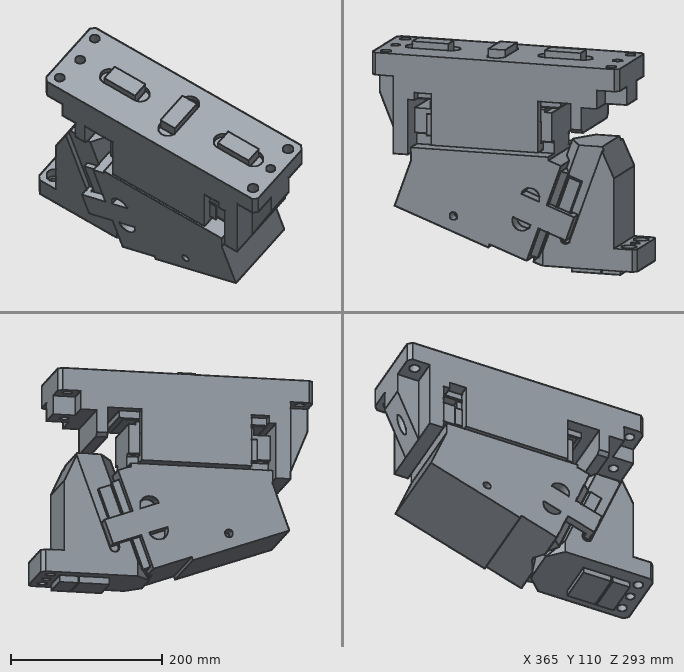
import cadquery as cq
import math


overall_length = 365.0
unit_width = 110.0
base_width = 85.0
holder_top_z = 275.0
key_height = 9.0
corner_chamfer = 5.5
chamfered_depth = 30.0

slide_angle = 20.0
slide_cos = math.cos(math.radians(slide_angle))
slide_sin = math.sin(math.radians(slide_angle))
slide_side = cq.Plane(origin=(0, 0, 0), xDir=(slide_cos, 0, slide_sin), normal=(0, -1, 0))
slide_section = cq.Plane(origin=(0, 0, 0), xDir=(slide_cos, 0, slide_sin), normal=(-slide_sin, 0, slide_cos))
slide_reach = 400.0

roof_ridge = 152.3
ridge_half_width = 3.0
roof_slope = math.tan(math.radians(30))

flange_length = 31.0
base_end_x = 150.0
base_end_chamfer = 19.6
base_shoulder_z = 125.0
base_top_z = 165.0
base_top_x = 49.7

recess_depth = 7.0
slot_rear = 99.5
slot_front = 112.6
slot_bottom = -4.5
rail_top = 82.7

base_hole_x = 15.8
base_screw_spacing = 50.0
base_screw_diameter = 13.0
counterbore_diameter = 20.0
counterbore_depth = 15.0
dowel_diameter = 12.0

base_key_width = 50.0
cross_key_x = (28.2, 53.2)
long_key_x = (55.2, 95.7)

slider_face = 142.4
slider_front = 336.5
slider_upper_end = 96.6
slider_relief = -43.3
slider_bottom = -48.1
relief_end = 197.6
neck_rear_x = 118.3
neck_front_x = 309.8
slider_shoulder_z = 150.2

wedge_outer_y = 44.6
wedge_knee = 133.4
wedge_flank_slope = math.tan(math.radians(60))
wedge_ends = (-37.9, 86.1)

neck_half_width = 30.0
collar_half_width = 32.2
collar_bottom_z = 165.2
head_half_width = 39.7
head_bottom_z = 167.6
head_top_z = 210.6
head_rear_step_x = 128.1
head_rear_step_z = 207.0
head_front_step_x = 287.8
head_front_step_z = 200.8

hook_end = 101.8
hook_ends = (4.6, 38.8)
hook_inner_y = wedge_outer_y
lip_inner_y = 37.6
lip_length = 8.0
hook_pocket_across = 167.0
hook_pocket_radius = 13.1
hook_pocket_depth = 20.0

side_hole_x = 250.7
side_hole_z = 61.6
side_hole_diameter = 10.5
side_hole_depth = 20.0
drill_point_angle = 118.0

holder_rear_x = 20.5
tongue_width = 40.0
tongue_length = 30.0
holder_step_z = holder_top_z - chamfered_depth
holder_rear_z = 220.0
rear_leg_x = (72.0, 87.0)
rear_leg_z = 185.0
rear_leg_chamfer = 5.0
cavity_top_z = 224.5
skirt_x = (132.8, 281.5)
skirt_bottom_z = 155.2
notch_front_x = 305.0
front_leg_x = (314.4, 334.4)
front_leg_z = 140.2
front_rib_z = 214.5

skirt_inner_y = 42.5
skirt_lip_inner_y = 32.4
skirt_lip_top_z = 165.2
stop_inner_y = 41.3
stop_outer_y = 43.5
stop_end_x = 291.7
stop_top_z = 194.2

wear_plate_rear_x = 105.8
wear_plate_bottom_z = 213.2
wear_plate_half_width = 40.0
wear_plate_chamfer_x = 5.5
wear_plate_chamfer_z = 2.5
wear_plate_side_chamfer = 1.5

key_slot_length = 75.0
key_slot_width = 25.0
key_slot_depth = 7.0
key_length = 50.0
key_width = 23.5
long_key_centers_x = (112.8, 297.3)
cross_key_center_x = 200.4

rear_screw_x = 35.5
rear_dowel_x = 40.2
front_hole_x = 349.6
holder_screw_spacing = 79.5
rear_hole_diameter = 13.0
front_screw_diameter = 14.0


def block(x_range, y_range, z_range):
    """Axis-aligned box from (low, high) limits."""
    (x0, x1), (y0, y1), (z0, z1) = x_range, y_range, z_range
    return cq.Workplane("XY").box(x1 - x0, y1 - y0, z1 - z0, centered=False).translate((x0, y0, z0))


def centered_block(x_range, half_width, z_range):
    return block(x_range, (-half_width, half_width), z_range)


def side_plate(points, width):
    """Side outline extruded evenly to both sides of Y = 0."""
    return cq.Workplane("XZ").polyline(points).close().extrude(width / 2, both=True)


def both_sides(shape):
    """The shape and its mirror image across Y = 0."""
    return shape.union(shape.mirror("XZ"))


def slide_block(across_range, y_range, along_range):
    """Box square to the slide, on the -Y side, between two distances from Y = 0."""
    (a0, a1), (near, far), (w0, w1) = across_range, y_range, along_range
    outline = cq.Workplane(slide_side).workplane(offset=near)
    return outline.moveTo((a0 + a1) / 2, (w0 + w1) / 2).rect(a1 - a0, w1 - w0).extrude(far - near)


def vertical_holes(points, diameter, z_range):
    outline = cq.Workplane("XY").workplane(offset=z_range[0]).pushPoints(points)
    return outline.circle(diameter / 2).extrude(z_range[1] - z_range[0])


def roof_level(y):
    """Height of the V roof at a distance y from the symmetry plane."""
    return roof_ridge - roof_slope * (y - ridge_half_width)


def roof_prism():
    """Endless prism that fills everything under the V roof of the base."""
    edge_y = unit_width
    points = [
        (-slide_reach, -edge_y),
        (roof_level(edge_y), -edge_y),
        (roof_ridge, -ridge_half_width),
        (roof_ridge, ridge_half_width),
        (roof_level(edge_y), edge_y),
        (-slide_reach, edge_y),
    ]
    return cq.Workplane(slide_section).polyline(points).close().extrude(slide_reach, both=True)


def base_recess():
    """Side recess over the slide with a round-ended slot behind the guide rail."""
    depth_range = (base_width / 2 - recess_depth, base_width / 2)
    slot_radius = (slot_front - slot_rear) / 2
    slot_floor = slot_bottom + slot_radius
    slot = slide_block((slot_rear, slot_front), depth_range, (slot_floor, slide_reach))
    slot_end = (
        cq.Workplane(slide_side)
        .workplane(offset=depth_range[0])
        .center(slot_rear + slot_radius, slot_floor)
        .circle(slot_radius)
        .extrude(recess_depth)
    )
    above_rail = slide_block((slot_rear, roof_ridge), depth_range, (rail_top, slide_reach))
    return both_sides(slot.union(slot_end).union(above_rail))


def make_base():
    outline = [
        (0, 0),
        (base_end_x, 0),
        (base_end_x, base_top_z),
        (base_top_x, base_top_z),
        (flange_length, base_shoulder_z),
        (flange_length, chamfered_depth),
        (0, chamfered_depth),
    ]
    base = side_plate(outline, base_width)
    base = base.edges("|Z and <X").chamfer(corner_chamfer)
    base = base.edges("|Z and >X").chamfer(base_end_chamfer)
    base = base.intersect(roof_prism()).cut(base_recess())

    screw_points = [(base_hole_x, side * base_screw_spacing / 2) for side in (-1, 1)]
    base = base.cut(vertical_holes(screw_points, base_screw_diameter, (0, chamfered_depth)))
    bore_range = (chamfered_depth - counterbore_depth, chamfered_depth)
    base = base.cut(vertical_holes(screw_points, counterbore_diameter, bore_range))
    base = base.cut(vertical_holes([(base_hole_x, 0)], dowel_diameter, (0, chamfered_depth)))

    for key_x in (cross_key_x, long_key_x):
        base = base.union(centered_block(key_x, base_key_width / 2, (-key_height, 0)))
    return base


def slide_point(across, along):
    """X and Z of a point given in the slide frame."""
    return (across * slide_cos - along * slide_sin, across * slide_sin + along * slide_cos)


def slider_body():
    upper_z = (slider_upper_end + neck_rear_x * slide_sin) / slide_cos
    front_z = (slider_front - neck_front_x * slide_cos) / slide_sin
    outline = [
        slide_point(slider_face, slider_upper_end),
        slide_point(slider_face, slider_relief),
        slide_point(relief_end, slider_relief),
        slide_point(relief_end, slider_bottom),
        slide_point(slider_front, slider_bottom),
        (neck_front_x, front_z),
        (neck_front_x, slider_shoulder_z),
        (neck_rear_x, slider_shoulder_z),
        (neck_rear_x, upper_z),
    ]
    return side_plate(outline, unit_width)


def slider_wedge():
    """Wedge on the slide face: a steep outer flank, then one as shallow as the V roof."""
    knee_y = wedge_outer_y - (slider_face - wedge_knee) / wedge_flank_slope
    tip_y = (knee_y + ridge_half_width + (roof_ridge - wedge_knee) / roof_slope) / 2
    wedge_tip = roof_level(tip_y)
    points = [
        (slider_face, -wedge_outer_y),
        (wedge_knee, -knee_y),
        (wedge_tip, -tip_y),
        (wedge_tip, tip_y),
        (wedge_knee, knee_y),
        (slider_face, wedge_outer_y),
    ]
    outline = cq.Workplane(slide_section).workplane(offset=wedge_ends[0]).polyline(points).close()
    return outline.extrude(wedge_ends[1] - wedge_ends[0])


def slider_tee():
    """Neck, collar and stepped head that hang in the holder."""
    neck_x = (neck_rear_x, neck_front_x)
    neck = centered_block(neck_x, neck_half_width, (slider_shoulder_z, collar_bottom_z))
    collar = centered_block(neck_x, collar_half_width, (collar_bottom_z, head_bottom_z))
    head_outline = [
        (neck_rear_x, head_bottom_z),
        (neck_front_x, head_bottom_z),
        (neck_front_x, head_front_step_z),
        (head_front_step_x, head_front_step_z),
        (head_front_step_x, head_top_z),
        (head_rear_step_x, head_top_z),
        (head_rear_step_x, head_rear_step_z),
        (neck_rear_x, head_rear_step_z),
    ]
    return neck.union(collar).union(side_plate(head_outline, 2 * head_half_width))


def hook_pockets():
    """Round pockets at both edges of each hook bar."""
    pockets = (
        cq.Workplane(slide_side)
        .workplane(offset=unit_width / 2 - hook_pocket_depth)
        .pushPoints([(hook_pocket_across, along) for along in hook_ends])
        .circle(hook_pocket_radius)
        .extrude(hook_pocket_depth)
    )
    return both_sides(pockets)


def hooks():
    """Return hooks: side bars with a lip that reaches in behind the guide rails."""
    outer_y = unit_width / 2
    bar_end = hook_pocket_across + hook_pocket_radius
    bar = slide_block((hook_end, slider_face), (hook_inner_y, outer_y), hook_ends)
    seat = slide_block((slider_face, bar_end), (outer_y - hook_pocket_depth, outer_y), hook_ends)
    lip = slide_block((hook_end, hook_end + lip_length), (lip_inner_y, outer_y), hook_ends)
    return both_sides(bar.union(seat).union(lip))


def side_holes():
    """Blind drilled holes with a conical bottom in both side faces."""
    radius = side_hole_diameter / 2
    point_depth = radius / math.tan(math.radians(drill_point_angle / 2))
    profile = [(0, 0), (radius, 0), (radius, side_hole_depth), (0, side_hole_depth + point_depth)]
    drill = cq.Workplane("XY").polyline(profile).close().revolve(360, (0, 0, 0), (0, 1, 0))
    return both_sides(drill.translate((side_hole_x, -unit_width / 2, side_hole_z)))


def make_slider():
    slider = slider_body().union(slider_wedge()).cut(roof_prism())
    slider = slider.cut(hook_pockets()).union(hooks())
    return slider.union(slider_tee()).cut(side_holes())


def holder_body():
    """Plate with its rear leg, front leg and skirts, before hollowing."""
    outline = [
        (holder_rear_x, holder_top_z),
        (holder_rear_x, holder_rear_z),
        (rear_leg_x[0], holder_rear_z),
        (rear_leg_x[0], rear_leg_z),
        (rear_leg_x[1], rear_leg_z),
        (rear_leg_x[1], cavity_top_z),
        (skirt_x[0], cavity_top_z),
        (skirt_x[0], skirt_bottom_z),
        (skirt_x[1], skirt_bottom_z),
        (skirt_x[1], cavity_top_z),
        (notch_front_x, cavity_top_z),
        (notch_front_x, front_rib_z),
        (front_leg_x[0], front_rib_z),
        (front_leg_x[0], front_leg_z),
        (front_leg_x[1], front_leg_z),
        (overall_length, front_rib_z),
        (overall_length, holder_top_z),
    ]
    envelope = centered_block((holder_rear_x, overall_length), unit_width / 2, (front_leg_z, holder_top_z))
    envelope = envelope.edges("|Z").chamfer(corner_chamfer)
    return side_plate(outline, unit_width).intersect(envelope)


def holder_corner_cuts():
    """Side cuts that leave the rear tongue and the front rib below the plate."""
    side_y = (tongue_width / 2, unit_width / 2)
    cut_z = (front_leg_z, holder_step_z)
    rear = block((holder_rear_x, holder_rear_x + tongue_length), side_y, cut_z)
    front = block((front_leg_x[1], overall_length), side_y, cut_z)
    return both_sides(rear.union(front))


def rear_leg_corners():
    """Triangles that chamfer the lower corners of the rear leg."""
    edge_y = unit_width / 2
    points = [
        (edge_y, rear_leg_z),
        (edge_y - rear_leg_chamfer, rear_leg_z),
        (edge_y, rear_leg_z + rear_leg_chamfer),
    ]
    corner = cq.Workplane("YZ").workplane(offset=rear_leg_x[0]).polyline(points).close()
    return both_sides(corner.extrude(rear_leg_x[1] - rear_leg_x[0]))


def skirt_details():
    """Lips under the slider head and the stops that stand on them."""
    lip_y = (skirt_lip_inner_y, unit_width / 2)
    lip = block(skirt_x, lip_y, (skirt_bottom_z, skirt_lip_top_z))
    stop_y = (stop_inner_y, stop_outer_y)
    stop = block((skirt_x[0], stop_end_x), stop_y, (skirt_lip_top_z, stop_top_z))
    return both_sides(lip.union(stop))


def wear_plate():
    outline = [
        (wear_plate_rear_x, cavity_top_z),
        (wear_plate_rear_x, wear_plate_bottom_z + wear_plate_chamfer_z),
        (wear_plate_rear_x + wear_plate_chamfer_x, wear_plate_bottom_z),
        (notch_front_x, wear_plate_bottom_z),
        (notch_front_x, cavity_top_z),
    ]
    plate = side_plate(outline, 2 * wear_plate_half_width)
    return plate.faces("<Z").edges("|X").chamfer(wear_plate_side_chamfer)


def top_key_slot(center_x, turn):
    slot = cq.Workplane("XY").workplane(offset=holder_top_z).slot2D(key_slot_length, key_slot_width)
    slot = slot.extrude(-key_slot_depth)
    return slot.rotate((0, 0, 0), (0, 0, 1), turn).translate((center_x, 0, 0))


def top_key(center_x, turn):
    base_z = holder_top_z - key_slot_depth
    key = cq.Workplane("XY").workplane(offset=base_z).rect(key_length, key_width)
    key = key.extrude(key_slot_depth + key_height)
    return key.rotate((0, 0, 0), (0, 0, 1), turn).translate((center_x, 0, 0))


def make_holder():
    holder = holder_body().cut(holder_corner_cuts()).cut(rear_leg_corners())
    holder = holder.cut(centered_block(skirt_x, skirt_inner_y, (skirt_bottom_z, cavity_top_z)))
    holder = holder.union(skirt_details()).union(wear_plate())

    for center_x, turn in ((long_key_centers_x[0], 0), (cross_key_center_x, 90), (long_key_centers_x[1], 0)):
        holder = holder.cut(top_key_slot(center_x, turn)).union(top_key(center_x, turn))

    through = (front_leg_z, holder_top_z)
    side_y = holder_screw_spacing / 2
    rear_points = [(rear_screw_x, -side_y), (rear_dowel_x, 0), (rear_screw_x, side_y)]
    front_points = [(front_hole_x, -side_y), (front_hole_x, side_y)]
    holder = holder.cut(vertical_holes(rear_points, rear_hole_diameter, through))
    holder = holder.cut(vertical_holes(front_points, front_screw_diameter, through))
    return holder.cut(vertical_holes([(front_hole_x, 0)], dowel_diameter, through))


base = make_base()
slider = make_slider()
holder = make_holder()

result = cq.Compound.makeCompound([*base.solids().vals(), *slider.solids().vals(), *holder.solids().vals()])